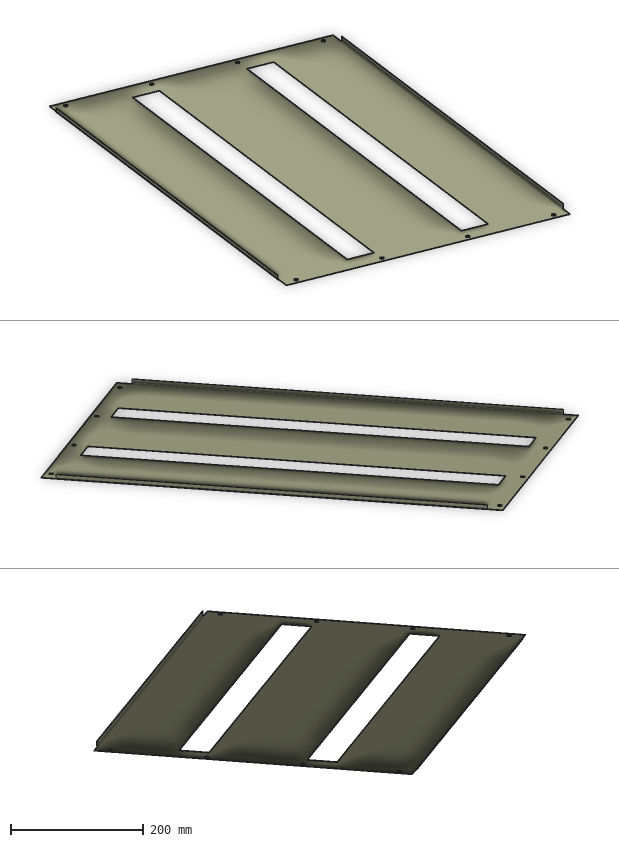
import cadquery as cq

plate_length = 717.0
overall_width = 499.0
overall_height = 8.0
sheet_thickness = 1.0
bend_inner_radius = 1.15
bend_outer_radius = bend_inner_radius + sheet_thickness
flange_length = 670.5

plate_width = overall_width - 2 * bend_outer_radius

window_length = 649.0
window_width = 46.5
window_spacing = 199.0
window_shift = 2.0

hole_diameter = 6.5
hole_column_spacing = 697.0
hole_rows = 4
hole_pitch = 150.0


def make_plate():
    """Flat sheet resting on Z = 0."""
    return cq.Workplane("XY").box(plate_length, plate_width, sheet_thickness, centered=(True, True, False))


def make_folded_channel():
    """Shallow U section whose walls are the upturned flanges."""
    cavity_width = overall_width - 2 * sheet_thickness
    outer = (
        cq.Workplane("XY")
        .box(flange_length, overall_width, overall_height, centered=(True, True, False))
        .edges("|X and <Z")
        .fillet(bend_outer_radius)
    )
    cavity = (
        cq.Workplane("XY", origin=(0, 0, sheet_thickness))
        .box(flange_length, cavity_width, overall_height, centered=(True, True, False))
        .edges("|X and <Z")
        .fillet(bend_inner_radius)
    )
    return outer.cut(cavity)


def make_windows():
    """Cutters for the two windows."""
    return (
        cq.Workplane("XY", origin=(window_shift, 0, 0))
        .rarray(7, window_spacing, 1, 2)
        .rect(window_length, window_width)
        .extrude(sheet_thickness)
    )


def make_holes():
    """Cutters for both columns of screw holes."""
    return (
        cq.Workplane("XY")
        .rarray(hole_column_spacing, hole_pitch, 2, hole_rows)
        .circle(hole_diameter / 2)
        .extrude(sheet_thickness)
    )


result = make_plate().union(make_folded_channel()).cut(make_windows()).cut(make_holes())